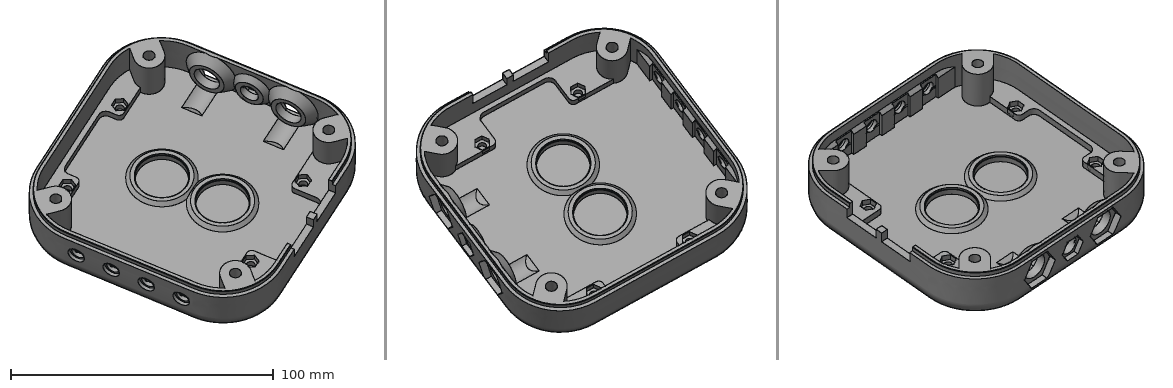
import cadquery as cq
import math

HEX_SIDES = 6
HEX_FLATS_TO_CORNERS = math.cos(math.pi / HEX_SIDES)

SIDE = 105.0
HALF = SIDE / 2
CORNER_RADIUS = 25.0
CORNER_CENTER = HALF - CORNER_RADIUS
HEIGHT = 19.5
SHOULDER_Z = 17.5
BULGE_TOP_Z = 13.0
BULGE_BOTTOM_Z = 4.0
BULGE_DEPTH = 0.05
BASE_DRAFT_Z = 2.0
BASE_DRAFT_ANGLE = math.radians(20)
BASE_FILLET_RADIUS = (BULGE_BOTTOM_Z - BASE_DRAFT_Z) / math.sin(BASE_DRAFT_ANGLE)

LIP_HALF = 51.0
LIP_CHAMFER = 0.2
CAVITY_HALF = 49.5
FLOOR_Z = 3.0

POST_SPACING = 77.0
POST_RADIUS = 6.0
POST_TOP_Z = HEIGHT
POST_HOLE_RADIUS = 2.25
POST_HOLE_DEPTH = 12.0

PLATE_TOP_Z = 6.0
PLATE_HALF_LENGTH = POST_SPACING / 2
LEFT_PLATE_EDGE_X = -39.1
RIGHT_PLATE_EDGE_X = 33.2
LEFT_NOTCH_X = -47.2
RIGHT_NOTCH_X = 47.5
NOTCH_HALF_WIDTH = 16.75
NOTCH_INNER_FILLET = 3.0
NOTCH_OUTER_FILLET = 2.0
NUT_FLATS = 5.5
NUT_DEPTH = 2.5
NUT_HOLE_RADIUS = 1.7
NUT_HOLE_BOTTOM_Z = 1.0
LEFT_NUT_X = -42.3
RIGHT_NUT_X = 36.3
NUT_OFFSET_Y = 21.7

RING_SPACING = 26.0
RING_BASE_RADIUS = 13.8
RING_TOP_RADIUS = 12.2
RING_BORE_RADIUS = 10.2
RING_STEP_RADIUS = 10.5
RING_STEP_DEPTH = 0.8
RING_HEIGHT = 1.5
RING_BORE_BOTTOM_Z = 1.2

GLAND_Z = 9.0
LARGE_GLAND_OFFSET = 17.5
LARGE_GLAND_BASE_RADIUS = 10.8
LARGE_GLAND_TIP_RADIUS = 7.4
LARGE_GLAND_TIP_Y = 45.7
LARGE_GLAND_HOLE_RADIUS = 5.4
LARGE_GLAND_HEX_FLATS = 14.2
LARGE_GLAND_HEX_DEPTH = 3.0
SMALL_GLAND_BASE_RADIUS = 8.3
SMALL_GLAND_TIP_RADIUS = 6.0
SMALL_GLAND_TIP_Y = 47.1
SMALL_GLAND_HOLE_RADIUS = 3.85
SMALL_GLAND_HEX_FLATS = 9.6
SMALL_GLAND_HEX_DEPTH = 2.2
GROOVE_RADIUS = LARGE_GLAND_TIP_RADIUS
GROOVE_END_Y = 33.3
GROOVE_RAMP_LENGTH = 2.5

INDICATOR_SPACING = 15.0
INDICATOR_COUNT = 4
INDICATOR_Z = 9.9
INDICATOR_HOLE_RADIUS = 2.7
INDICATOR_OUTER_RADIUS = 3.5
INDICATOR_OUTER_DEPTH = 1.5
INDICATOR_SLOT_WIDTH = 8.3
INDICATOR_SLOT_DEPTH = 1.2
FRONT_PAD_DEPTH = 1.6
FRONT_PAD_TOP_Z = 15.0

OPENING_MIN_Y = -16.75
OPENING_MAX_Y = 17.4
OPENING_BOTTOM_Z = 13.0
TAB_WIDTH = 3.0
TAB_CENTER_Y = 0.6


def add_bulged_wall(sketch, wall):
    """Bulged wall line from the current point up to the top of the bulge, at distance wall."""
    bulge_middle = (wall + BULGE_DEPTH, (BULGE_TOP_Z + BULGE_BOTTOM_Z) / 2)
    return sketch.threePointArc(bulge_middle, (wall, BULGE_TOP_Z))


def draw_outer_section(axis_offset):
    """Half section of the shell below the lip, drawn from a vertical axis at axis_offset."""
    wall = HALF - BULGE_DEPTH - axis_offset
    half_angle = BASE_DRAFT_ANGLE / 2
    draft_top = wall - BASE_FILLET_RADIUS * (1 - math.cos(BASE_DRAFT_ANGLE))
    draft_bottom = draft_top - BASE_DRAFT_Z * math.tan(BASE_DRAFT_ANGLE)
    fillet_middle = (
        wall - BASE_FILLET_RADIUS * (1 - math.cos(half_angle)),
        BULGE_BOTTOM_Z - BASE_FILLET_RADIUS * math.sin(half_angle),
    )
    sketch = (
        cq.Workplane("XZ")
        .lineTo(draft_bottom, 0)
        .lineTo(draft_top, BASE_DRAFT_Z)
        .threePointArc(fillet_middle, (wall, BULGE_BOTTOM_Z))
    )
    return add_bulged_wall(sketch, wall).lineTo(wall, SHOULDER_Z).lineTo(0, SHOULDER_Z).close()


def draw_cavity_section(axis_offset):
    """Half section of the inside of the box, drawn from a vertical axis at axis_offset."""
    wall = CAVITY_HALF - BULGE_DEPTH - axis_offset
    sketch = cq.Workplane("XZ").moveTo(0, FLOOR_Z).lineTo(wall, FLOOR_Z)
    return add_bulged_wall(sketch, wall).lineTo(wall, HEIGHT).lineTo(0, HEIGHT).close()


def make_rounded_square(draw_section):
    """Solid with the given wall section on four straight sides and four round corners."""
    side = draw_section(0).extrude(CORNER_CENTER, both=True)
    corner = draw_section(CORNER_CENTER).revolve(360, (0, 0), (0, 1))
    solid = side
    for turn in (90, 180, 270):
        solid = solid.union(side.rotate((0, 0, 0), (0, 0, 1), turn))
    for x in (-CORNER_CENTER, CORNER_CENTER):
        for y in (-CORNER_CENTER, CORNER_CENTER):
            solid = solid.union(corner.translate((x, y, 0)))
    return solid


def make_shell():
    lip = (
        cq.Workplane("XY", origin=(0, 0, FLOOR_Z))
        .rect(2 * LIP_HALF, 2 * LIP_HALF)
        .extrude(HEIGHT - FLOOR_Z)
        .edges("|Z")
        .fillet(LIP_HALF - CORNER_CENTER)
        .faces(">Z")
        .edges()
        .chamfer(LIP_CHAMFER)
    )
    return make_rounded_square(draw_outer_section).union(lip)


def make_posts():
    """Round corner posts, each carried straight out to the wall along the diagonal."""
    posts = cq.Workplane("XY")
    post_center = POST_SPACING / 2
    strip = (
        cq.Workplane("XY", origin=(0, 0, FLOOR_Z))
        .rect(CORNER_RADIUS, 2 * POST_RADIUS)
        .extrude(POST_TOP_Z - FLOOR_Z)
        .translate((CORNER_RADIUS / 2, 0, 0))
    )
    post = strip.union(
        cq.Workplane("XY", origin=(0, 0, FLOOR_Z)).circle(POST_RADIUS).extrude(POST_TOP_Z - FLOOR_Z)
    )
    for turn in (45, 135, 225, 315):
        direction = math.radians(turn)
        x = math.copysign(post_center, math.cos(direction))
        y = math.copysign(post_center, math.sin(direction))
        posts = posts.union(post.rotate((0, 0, 0), (0, 0, 1), turn).translate((x, y, 0)))
    return posts


def cut_post_holes(part):
    holes = (
        cq.Workplane("XY", origin=(0, 0, POST_TOP_Z))
        .rect(POST_SPACING, POST_SPACING, forConstruction=True)
        .vertices()
        .circle(POST_HOLE_RADIUS)
        .extrude(-POST_HOLE_DEPTH)
    )
    return part.cut(holes)


def make_plate(edge_x, notch_x):
    """Raised plate from edge_x out to the wall, notched back to notch_x."""
    wall_x = math.copysign(HALF, edge_x)
    plate = (
        cq.Workplane("XY", origin=(0, 0, FLOOR_Z))
        .moveTo(wall_x, -PLATE_HALF_LENGTH)
        .lineTo(edge_x, -PLATE_HALF_LENGTH)
        .lineTo(edge_x, -NOTCH_HALF_WIDTH)
        .lineTo(notch_x, -NOTCH_HALF_WIDTH)
        .lineTo(notch_x, NOTCH_HALF_WIDTH)
        .lineTo(edge_x, NOTCH_HALF_WIDTH)
        .lineTo(edge_x, PLATE_HALF_LENGTH)
        .lineTo(wall_x, PLATE_HALF_LENGTH)
        .close()
        .extrude(PLATE_TOP_Z - FLOOR_Z)
    )
    for x, radius in ((notch_x, NOTCH_INNER_FILLET), (edge_x, NOTCH_OUTER_FILLET)):
        for y in (-NOTCH_HALF_WIDTH, NOTCH_HALF_WIDTH):
            corner = cq.selectors.NearestToPointSelector((x, y, (FLOOR_Z + PLATE_TOP_Z) / 2))
            plate = plate.edges("|Z").edges(corner).fillet(radius)
    return plate


def cut_nut_pockets(part):
    corner_diameter = NUT_FLATS / HEX_FLATS_TO_CORNERS
    nut = (
        cq.Workplane("XY", origin=(0, 0, PLATE_TOP_Z))
        .polygon(HEX_SIDES, corner_diameter)
        .extrude(-NUT_DEPTH)
        .rotate((0, 0, 0), (0, 0, 1), 180 / HEX_SIDES)
    )
    hole = (
        cq.Workplane("XY", origin=(0, 0, NUT_HOLE_BOTTOM_Z))
        .circle(NUT_HOLE_RADIUS)
        .extrude(PLATE_TOP_Z - NUT_HOLE_BOTTOM_Z)
    )
    pocket = nut.union(hole)
    for x in (LEFT_NUT_X, RIGHT_NUT_X):
        for y in (-NUT_OFFSET_Y, NUT_OFFSET_Y):
            part = part.cut(pocket.translate((x, y, 0)))
    return part


def add_rings(part):
    ring = cq.Workplane("XY").add(cq.Solid.makeCone(RING_BASE_RADIUS, RING_TOP_RADIUS, RING_HEIGHT))
    top_z = FLOOR_Z + RING_HEIGHT
    top_plane = cq.Workplane("XY", origin=(0, 0, top_z))
    bore = top_plane.circle(RING_BORE_RADIUS).extrude(RING_BORE_BOTTOM_Z - top_z)
    bore = bore.union(top_plane.circle(RING_STEP_RADIUS).extrude(-RING_STEP_DEPTH))
    centers = (-RING_SPACING / 2, RING_SPACING / 2)
    for x in centers:
        part = part.union(ring.translate((x, 0, FLOOR_Z)))
    for x in centers:
        part = part.cut(bore.translate((x, 0, 0)))
    return part


def make_gland(x, base_radius, tip_radius, tip_y):
    """Cone on the rear wall that narrows toward the inside of the box."""
    base_center = cq.Vector(x, CAVITY_HALF, GLAND_Z)
    inward = cq.Vector(0, -1, 0)
    solid = cq.Solid.makeCone(base_radius, tip_radius, CAVITY_HALF - tip_y, base_center, inward)
    return cq.Workplane("XY").add(solid)


def y_cylinder(x, z, radius, start_y, end_y):
    return cq.Workplane("XZ", origin=(x, start_y, z)).circle(radius).extrude(start_y - end_y)


def cut_gland_bore(part, x, tip_y, hole_radius, hex_flats, hex_depth):
    """Round bore through the cone that opens into a hexagonal pocket in the outside of the wall."""
    hex_pocket = (
        cq.Workplane("XZ", origin=(x, HALF, GLAND_Z))
        .polygon(HEX_SIDES, hex_flats / HEX_FLATS_TO_CORNERS)
        .extrude(hex_depth)
    )
    bore = y_cylinder(x, GLAND_Z, hole_radius, tip_y, HALF)
    return part.cut(bore).cut(hex_pocket)


def make_groove(x):
    """Trough in the floor in front of a large gland, with a ramp at its far end."""
    depth = GLAND_Z - FLOOR_Z
    bottom_z = GLAND_Z - GROOVE_RADIUS
    ramp_y = GROOVE_END_Y + GROOVE_RAMP_LENGTH
    trough = y_cylinder(x, GLAND_Z, GROOVE_RADIUS, GROOVE_END_Y, LARGE_GLAND_TIP_Y)
    limit = (
        cq.Workplane("YZ", origin=(x, 0, 0))
        .moveTo(GROOVE_END_Y, FLOOR_Z)
        .lineTo(ramp_y, bottom_z)
        .lineTo(LARGE_GLAND_TIP_Y, bottom_z)
        .lineTo(LARGE_GLAND_TIP_Y, FLOOR_Z)
        .close()
        .extrude(depth, both=True)
    )
    return trough.intersect(limit)


def add_glands(part, cavity):
    large_centers = (-LARGE_GLAND_OFFSET, LARGE_GLAND_OFFSET)
    glands = make_gland(0, SMALL_GLAND_BASE_RADIUS, SMALL_GLAND_TIP_RADIUS, SMALL_GLAND_TIP_Y)
    for x in large_centers:
        glands = glands.union(
            make_gland(x, LARGE_GLAND_BASE_RADIUS, LARGE_GLAND_TIP_RADIUS, LARGE_GLAND_TIP_Y)
        )
    part = part.union(glands.intersect(cavity))
    part = cut_gland_bore(
        part, 0, SMALL_GLAND_TIP_Y, SMALL_GLAND_HOLE_RADIUS, SMALL_GLAND_HEX_FLATS, SMALL_GLAND_HEX_DEPTH
    )
    for x in large_centers:
        part = cut_gland_bore(
            part, x, LARGE_GLAND_TIP_Y, LARGE_GLAND_HOLE_RADIUS, LARGE_GLAND_HEX_FLATS, LARGE_GLAND_HEX_DEPTH
        )
        part = part.cut(make_groove(x))
    return part


def make_front_pad():
    """Thickened band inside the front wall with a sloping top."""
    pad_y = FRONT_PAD_DEPTH - CAVITY_HALF
    return (
        cq.Workplane("YZ")
        .moveTo(-CAVITY_HALF, FLOOR_Z)
        .lineTo(pad_y, FLOOR_Z)
        .lineTo(pad_y, FRONT_PAD_TOP_Z - FRONT_PAD_DEPTH)
        .lineTo(-CAVITY_HALF, FRONT_PAD_TOP_Z)
        .close()
        .extrude(HALF, both=True)
    )


def cut_indicator_holes(part):
    first_x = -INDICATOR_SPACING * (INDICATOR_COUNT - 1) / 2
    pad_y = FRONT_PAD_DEPTH - CAVITY_HALF
    outer_y = INDICATOR_OUTER_DEPTH - HALF
    for index in range(INDICATOR_COUNT):
        x = first_x + index * INDICATOR_SPACING
        part = part.cut(y_cylinder(x, INDICATOR_Z, INDICATOR_HOLE_RADIUS, -HALF, pad_y))
        part = part.cut(y_cylinder(x, INDICATOR_Z, INDICATOR_OUTER_RADIUS, -HALF, outer_y))
        slot_x = x - INDICATOR_SLOT_WIDTH / 2
        slot_end = (slot_x + INDICATOR_SLOT_WIDTH, pad_y, FRONT_PAD_TOP_Z)
        part = part.cut(box((slot_x, pad_y - INDICATOR_SLOT_DEPTH, FLOOR_Z), slot_end))
    return part


def box(min_corner, max_corner):
    size = [high - low for low, high in zip(min_corner, max_corner)]
    return cq.Workplane("XY").box(*size, centered=False).translate(min_corner)


def cut_side_opening(part):
    inner_x = CAVITY_HALF - BULGE_DEPTH
    opening = box((inner_x, OPENING_MIN_Y, OPENING_BOTTOM_Z), (HALF, OPENING_MAX_Y, HEIGHT))
    tab = box(
        (inner_x, TAB_CENTER_Y - TAB_WIDTH / 2, OPENING_BOTTOM_Z),
        (HALF, TAB_CENTER_Y + TAB_WIDTH / 2, SHOULDER_Z),
    )
    return part.cut(opening.cut(tab))


shell = make_shell()
cavity = make_rounded_square(draw_cavity_section)
fittings = (
    make_posts()
    .union(make_plate(LEFT_PLATE_EDGE_X, LEFT_NOTCH_X))
    .union(make_plate(RIGHT_PLATE_EDGE_X, RIGHT_NOTCH_X))
    .union(make_front_pad())
    .intersect(cavity)
)
part = shell.cut(cavity).union(fittings)
part = cut_post_holes(part)
part = cut_nut_pockets(part)
part = add_rings(part)
part = add_glands(part, cavity)
part = cut_indicator_holes(part)
result = cut_side_opening(part)